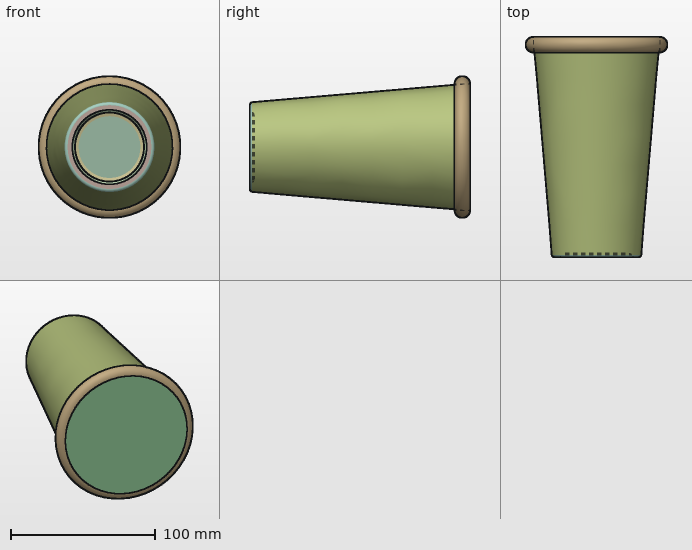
import cadquery as cq

LENGTH = 152.2

LARGE_END_RADIUS = 87.0 / 2
SMALL_END_RADIUS = 31.0
END_ROUND_HEIGHT = 1.7
END_FACE_RADIUS = 28.9

RECESS_MOUTH_RADIUS = 25.7
STEP_OUTER_RADIUS = 23.9
STEP_INNER_RADIUS = 23.7
MOUTH_BEVEL_DEPTH = 1.8
STEP_DEPTH = 2.5
RECESS_FLOOR_RADIUS = 21.3
RECESS_DEPTH = 3.0

RING_OUTER_RADIUS = 98.0 / 2
BEAD_RADIUS = RING_OUTER_RADIUS - LARGE_END_RADIUS

PROFILE_PLANE = cq.Plane(origin=(0, 0, 0), xDir=(0, 0, 1), normal=(-1, 0, 0))


def revolve_about_axis(profile):
    """Turn a closed (radius, axial position) profile once around the Y axis."""
    return profile.close().revolve(360, (0, 0, 0), (0, 1, 0))


def make_tapered_body():
    """Cone frustum with a straight band at the large end and a rounded, recessed small end."""
    profile = (
        cq.Workplane(PROFILE_PLANE)
        .moveTo(0, RECESS_DEPTH)
        .lineTo(RECESS_FLOOR_RADIUS, RECESS_DEPTH)
        .lineTo(STEP_INNER_RADIUS, STEP_DEPTH)
        .lineTo(STEP_OUTER_RADIUS, MOUTH_BEVEL_DEPTH)
        .lineTo(RECESS_MOUTH_RADIUS, 0)
        .lineTo(END_FACE_RADIUS, 0)
        .tangentArcPoint((SMALL_END_RADIUS, END_ROUND_HEIGHT), relative=False)
        .lineTo(LARGE_END_RADIUS, LENGTH - BEAD_RADIUS)
        .lineTo(LARGE_END_RADIUS, LENGTH)
        .lineTo(0, LENGTH)
    )
    return revolve_about_axis(profile)


def make_rim_ring():
    """Half-round ring with a straight bore that fits the straight band of the tapered body."""
    profile = (
        cq.Workplane(PROFILE_PLANE)
        .moveTo(LARGE_END_RADIUS, LENGTH - 2 * BEAD_RADIUS)
        .threePointArc((RING_OUTER_RADIUS, LENGTH - BEAD_RADIUS), (LARGE_END_RADIUS, LENGTH))
    )
    return revolve_about_axis(profile)


tapered_body = make_tapered_body()
rim_ring = make_rim_ring()

result = cq.Compound.makeCompound([tapered_body.val(), rim_ring.val()])